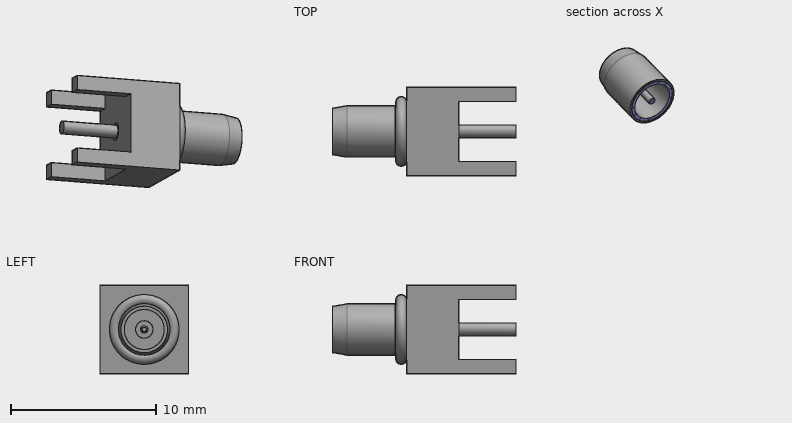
import cadquery as cq

overall_length = 12.65
barrel_length = 5.12
leg_length = 3.95
mouth_x = -overall_length / 2
rear_x = overall_length / 2
block_front_x = mouth_x + barrel_length
block_rear_x = rear_x - leg_length

block_width = 6.1
leg_width = 1.0
leg_gap = block_width - 2 * leg_width

barrel_diameter = 3.55
mouth_diameter = 3.2
bore_diameter = 2.75
taper_length = 1.0
bore_floor_x = block_front_x

ring_outer_diameter = 4.8
ring_thickness = 0.76
ring_centre_radius = (ring_outer_diameter - ring_thickness) / 2
groove_diameter = ring_outer_diameter - 2 * ring_thickness
groove_width = 0.8
groove_x = block_front_x - groove_width

contact_diameter = 0.5
contact_chamfer = 0.1
contact_tip_x = mouth_x + 0.95
middle_diameter = 1.2
tail_diameter = 0.9


def revolve_about_x(profile):
    """Turn a profile of (x, radius) points, whose ends lie on the X axis, into a solid."""
    return cq.Workplane("XY").polyline(profile).close().revolve(360, (0, 0, 0), (1, 0, 0))


def cylinder_along_x(diameter, start_x, end_x):
    return cq.Workplane("YZ", origin=(start_x, 0, 0)).circle(diameter / 2).extrude(end_x - start_x)


def make_legged_block():
    block = cq.Workplane("YZ", origin=(block_front_x, 0, 0)).rect(block_width, block_width)
    block = block.extrude(rear_x - block_front_x)
    for gap_y, gap_z in ((leg_gap, block_width), (block_width, leg_gap)):
        gap = cq.Workplane("YZ", origin=(block_rear_x, 0, 0)).rect(gap_y, gap_z).extrude(leg_length)
        block = block.cut(gap)
    return block


def make_barrel():
    return revolve_about_x([
        (mouth_x, 0),
        (mouth_x, mouth_diameter / 2),
        (mouth_x + taper_length, barrel_diameter / 2),
        (groove_x, barrel_diameter / 2),
        (groove_x, groove_diameter / 2),
        (block_front_x, groove_diameter / 2),
        (block_front_x, 0),
    ])


def make_housing():
    bore = cylinder_along_x(bore_diameter, mouth_x, bore_floor_x)
    pin_hole = cylinder_along_x(middle_diameter, bore_floor_x, block_rear_x)
    return make_legged_block().union(make_barrel()).cut(bore).cut(pin_hole)


def make_o_ring():
    ring_x = block_front_x - ring_thickness / 2
    section = cq.Workplane("XY").center(ring_x, ring_centre_radius).circle(ring_thickness / 2)
    return section.revolve(360, (0, -ring_centre_radius, 0), (1, -ring_centre_radius, 0))


def make_pin():
    return revolve_about_x([
        (contact_tip_x, 0),
        (contact_tip_x, contact_diameter / 2 - contact_chamfer),
        (contact_tip_x + contact_chamfer, contact_diameter / 2),
        (bore_floor_x, contact_diameter / 2),
        (bore_floor_x, middle_diameter / 2),
        (block_rear_x, middle_diameter / 2),
        (block_rear_x, tail_diameter / 2),
        (rear_x, tail_diameter / 2),
        (rear_x, 0),
    ])


housing = make_housing()
o_ring = make_o_ring()
pin = make_pin()

result = cq.Compound.makeCompound([housing.val(), o_ring.val(), pin.val()])